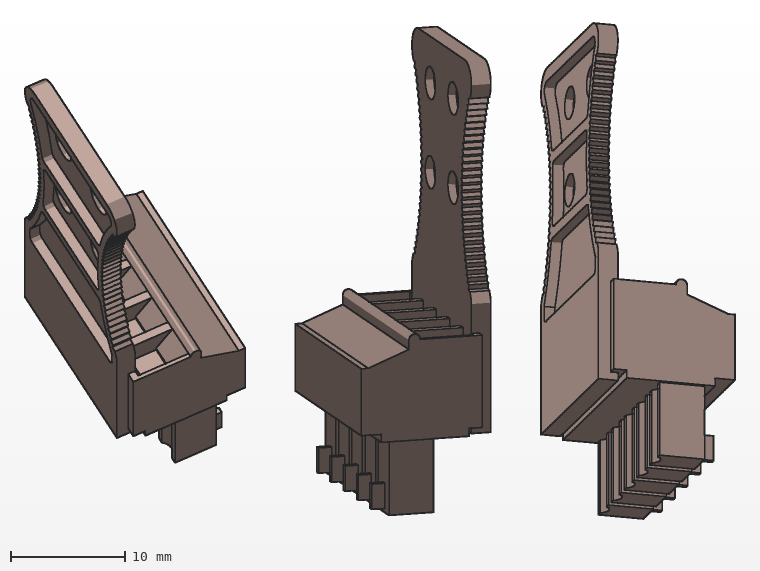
import cadquery as cq
import math


HANDLE_WIDTH = 17.15
HANDLE_THICKNESS = 1.8
HANDLE_BOTTOM = 6.68
HANDLE_TOP = 39.75
CORNER_RADIUS = 1.9
SHOULDER_RADIUS = 1.0

GRIP_RADIUS = 18.45
GRIP_HEIGHT = 27.95
TOOTH_PITCH = 2.0
TOOTH_DEPTH = 0.35
TOOTH_COUNT = 28

GRIP_WALL = 1.05
POCKET_DEPTH = 1.0
POCKET_ARC_RADIUS = GRIP_RADIUS + GRIP_WALL
POCKET_SIDE_WALL = 0.95
POCKET_FILLET = 0.48
TOP_POCKET_FILLET = 0.7
TOP_WALL = 1.25
RIB_WIDTH = 1.0
TOP_POCKET = (31.6, HANDLE_TOP - TOP_WALL)
MIDDLE_POCKET = (24.65, TOP_POCKET[0] - RIB_WIDTH)
LOWER_POCKET = (16.6, MIDDLE_POCKET[0] - RIB_WIDTH)
HOLE_DIAMETER = 2.9
HOLE_SPACING_X = 6.5
HOLE_SPACING_Z = 8.0
LOWER_HOLE_HEIGHT = 27.6

HOUSING_WIDTH = 19.05
HOUSING_FRONT = 1.1
HOUSING_BACK = 12.2
HOUSING_BOTTOM = HANDLE_BOTTOM
HOUSING_TOP = 15.65
STEP_HEIGHT = 7.4
STEP_FRONT = 2.3
STEP_BACK = 10.37
BACK_TOP = 13.4
BACK_LEDGE = 0.65
SLOPE_TOP = 14.83
RIDGE_RADIUS = 0.5
RIDGE_CENTRE = 7.3

POLE_COUNT = 5
POLE_PITCH = 3.8
WIRE_POCKET_WIDTH = 3.0
WIRE_POCKET_FLOOR = 13.6
WIRE_POCKET_FLOOR_FRONT = 2.65
WIRE_POCKET_FLOOR_BACK = 5.15
WIRE_POCKET_KERB = 0.25
WIRE_POCKET_LIP_RISE = 1.35

POST_WIDTH = 3.02
POST_FRONT = 5.45
POST_BACK = 9.55
POST_GROOVE_WIDTH = 1.83
POST_GROOVE_DEPTH = 0.48
KEY_WIDTH = 0.55
KEY_DEPTH = 1.2
KEY_BOTTOM = 0.35
KEY_TOP = 2.62

HALF_HANDLE = HANDLE_WIDTH / 2
CORNER_X = HALF_HANDLE - CORNER_RADIUS
CORNER_Z = HANDLE_TOP - CORNER_RADIUS
CORNER_RISE = CORNER_Z - GRIP_HEIGHT
GRIP_X = CORNER_X + math.sqrt((GRIP_RADIUS + CORNER_RADIUS) ** 2 - CORNER_RISE ** 2)

POLE_CENTRES = [(i - (POLE_COUNT - 1) / 2) * POLE_PITCH for i in range(POLE_COUNT)]


def box(x_range, y_range, z_range):
    """Block between the given limits."""
    size = [high - low for low, high in (x_range, y_range, z_range)]
    return cq.Workplane("XY").box(*size, centered=False).translate((x_range[0], y_range[0], z_range[0]))


def xz_plane(y):
    """Sketch plane facing -Y at depth y; a positive extrusion goes toward -Y."""
    return cq.Workplane("XZ", origin=(0, y, 0))


def grip_point(side, radius, angle):
    """Point (x, z) around the grip centre of one side (-1 or 1), at an angle above horizontal."""
    turn = math.radians(angle)
    return side * (GRIP_X - radius * math.cos(turn)), GRIP_HEIGHT + radius * math.sin(turn)


def grip_cylinder(side, radius):
    """Cylinder that hollows one edge of the handle."""
    centre = xz_plane(HANDLE_THICKNESS).center(side * GRIP_X, GRIP_HEIGHT)
    return centre.circle(radius).extrude(HANDLE_THICKNESS)


def handle_blank():
    """Plate with rounded top corners, a waist, and softened shoulders below the waist."""
    shoulder = -math.degrees(math.acos((GRIP_X - HALF_HANDLE) / GRIP_RADIUS))
    contact = math.degrees(math.asin(CORNER_RISE / (GRIP_RADIUS + CORNER_RADIUS)))
    left_shoulder = grip_point(-1, GRIP_RADIUS, shoulder)
    right_shoulder = grip_point(1, GRIP_RADIUS, shoulder)
    outline = (
        xz_plane(HANDLE_THICKNESS)
        .moveTo(-HALF_HANDLE, HANDLE_BOTTOM)
        .lineTo(*left_shoulder)
        .threePointArc(grip_point(-1, GRIP_RADIUS, 0), grip_point(-1, GRIP_RADIUS, contact))
        .threePointArc((-HALF_HANDLE, CORNER_Z), (-CORNER_X, HANDLE_TOP))
        .lineTo(CORNER_X, HANDLE_TOP)
        .threePointArc((HALF_HANDLE, CORNER_Z), grip_point(1, GRIP_RADIUS, contact))
        .threePointArc(grip_point(1, GRIP_RADIUS, 0), right_shoulder)
        .lineTo(HALF_HANDLE, HANDLE_BOTTOM)
        .close()
    )
    blank = outline.extrude(HANDLE_THICKNESS)
    for x, z in (left_shoulder, right_shoulder):
        edge = cq.selectors.NearestToPointSelector((x, HANDLE_THICKNESS / 2, z))
        blank = blank.edges("|Y").edges(edge).fillet(SHOULDER_RADIUS)
    return blank


def grip_serrations(side):
    """Row of V notches along one grip arc, as one toothed cutter."""
    first = -TOOTH_COUNT * TOOTH_PITCH / 2
    points = [grip_point(side, GRIP_RADIUS, first)]
    for i in range(TOOTH_COUNT):
        start = first + i * TOOTH_PITCH
        points.append(grip_point(side, GRIP_RADIUS + TOOTH_DEPTH, start + TOOTH_PITCH / 2))
        points.append(grip_point(side, GRIP_RADIUS, start + TOOTH_PITCH))
    points.append((side * GRIP_X, GRIP_HEIGHT))
    return xz_plane(HANDLE_THICKNESS).polyline(points).close().extrude(HANDLE_THICKNESS)


def handle_pocket(limits, half_width, upper_fillet):
    """Shallow pocket between two heights, its sides following the grip arcs."""
    pocket = box((-half_width, half_width), (0, POCKET_DEPTH), limits)
    for side in (-1, 1):
        pocket = pocket.cut(grip_cylinder(side, POCKET_ARC_RADIUS))
    pocket = pocket.faces(">Z").edges("|Y").fillet(upper_fillet)
    return pocket.faces("<Z").edges("|Y").fillet(POCKET_FILLET)


def make_handle():
    """Grip plate with serrated edges, three pockets and four through holes."""
    handle = handle_blank()
    for side in (-1, 1):
        handle = handle.cut(grip_serrations(side))
    lower_half_width = HALF_HANDLE - POCKET_SIDE_WALL
    handle = handle.cut(handle_pocket(LOWER_POCKET, lower_half_width, POCKET_FILLET))
    handle = handle.cut(handle_pocket(MIDDLE_POCKET, HALF_HANDLE, POCKET_FILLET))
    handle = handle.cut(handle_pocket(TOP_POCKET, HALF_HANDLE, TOP_POCKET_FILLET))
    holes = (
        xz_plane(HANDLE_THICKNESS)
        .center(0, LOWER_HOLE_HEIGHT + HOLE_SPACING_Z / 2)
        .rarray(HOLE_SPACING_X, HOLE_SPACING_Z, 2, 2)
        .circle(HOLE_DIAMETER / 2)
        .extrude(HANDLE_THICKNESS)
    )
    return handle.cut(holes)


def housing_block():
    """Stepped block with a sloped back shoulder and a rounded ridge along its top."""
    ridge_front = RIDGE_CENTRE - RIDGE_RADIUS
    ridge_back = RIDGE_CENTRE + RIDGE_RADIUS
    return (
        cq.Workplane("YZ", origin=(-HOUSING_WIDTH / 2, 0, 0))
        .moveTo(STEP_FRONT, HOUSING_BOTTOM)
        .lineTo(STEP_BACK, HOUSING_BOTTOM)
        .lineTo(STEP_BACK, STEP_HEIGHT)
        .lineTo(HOUSING_BACK, STEP_HEIGHT)
        .lineTo(HOUSING_BACK, BACK_TOP)
        .lineTo(HOUSING_BACK - BACK_LEDGE, BACK_TOP)
        .lineTo(ridge_back, SLOPE_TOP)
        .lineTo(ridge_back, HOUSING_TOP)
        .radiusArc((RIDGE_CENTRE, HOUSING_TOP + RIDGE_RADIUS), -RIDGE_RADIUS)
        .radiusArc((ridge_front, HOUSING_TOP), -RIDGE_RADIUS)
        .lineTo(HOUSING_FRONT, HOUSING_TOP)
        .lineTo(HOUSING_FRONT, STEP_HEIGHT)
        .lineTo(STEP_FRONT, STEP_HEIGHT)
        .close()
        .extrude(HOUSING_WIDTH)
    )


def wire_pocket(x):
    """Funnel-shaped pocket over one pole, open at the top, with a slope at its front and back."""
    return (
        cq.Workplane("YZ", origin=(x - WIRE_POCKET_WIDTH / 2, 0, 0))
        .moveTo(HANDLE_THICKNESS, HOUSING_TOP)
        .lineTo(HANDLE_THICKNESS, WIRE_POCKET_FLOOR + WIRE_POCKET_LIP_RISE)
        .lineTo(WIRE_POCKET_FLOOR_FRONT, WIRE_POCKET_FLOOR)
        .lineTo(WIRE_POCKET_FLOOR_BACK, WIRE_POCKET_FLOOR)
        .lineTo(WIRE_POCKET_FLOOR_BACK, WIRE_POCKET_FLOOR + WIRE_POCKET_KERB)
        .lineTo(RIDGE_CENTRE - RIDGE_RADIUS, HOUSING_TOP)
        .close()
        .extrude(WIRE_POCKET_WIDTH)
    )


def contact_post(x):
    """Post below one pole, with a rounded groove in front and a key rib behind."""
    post_sides = (x - POST_WIDTH / 2, x + POST_WIDTH / 2)
    post = box(post_sides, (POST_FRONT, POST_BACK), (0, HOUSING_BOTTOM))
    groove = (
        cq.Workplane("XY")
        .moveTo(x - POST_GROOVE_WIDTH / 2, POST_FRONT)
        .threePointArc((x, POST_FRONT + POST_GROOVE_DEPTH), (x + POST_GROOVE_WIDTH / 2, POST_FRONT))
        .close()
        .extrude(HOUSING_BOTTOM)
    )
    key_sides = (x - KEY_WIDTH / 2, x + KEY_WIDTH / 2)
    key = box(key_sides, (POST_BACK, POST_BACK + KEY_DEPTH), (KEY_BOTTOM, KEY_TOP))
    return post.cut(groove).union(key)


def make_housing():
    """Connector block with its wire pockets, contact posts and the recess that seats the handle."""
    housing = housing_block()
    recess = box((-HALF_HANDLE, HALF_HANDLE), (0, HANDLE_THICKNESS), (HANDLE_BOTTOM, HANDLE_TOP))
    housing = housing.cut(recess)
    for x in POLE_CENTRES:
        housing = housing.cut(wire_pocket(x)).union(contact_post(x))
    return housing


handle = make_handle().solids()
housing = make_housing().solids()

result = cq.Compound.makeCompound([handle.val(), housing.val()])